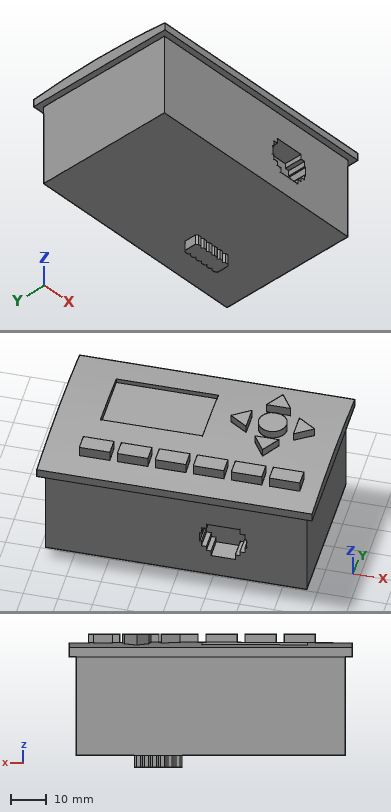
import cadquery as cq

OVERALL_HEIGHT = 37.4
COVER_LENGTH = 79.5
COVER_WIDTH = 50.3
COVER_OVERHANG = 2.0
HOUSING_HEIGHT = 27.7
COVER_EDGE_HEIGHT = 2.55
END_CROWN = 1.35
MIDDLE_CROWN = 1.6

KEY_HEIGHT = 6.35
KEY_COUNT = 6
KEY_PITCH = 11.0
KEY_LENGTH = 8.8
KEY_WIDTH = 4.8
KEY_ROW_CENTER = (2.5, -14.95)

PAD_CENTER = (20.75, 6.05)
ROUND_KEY_RADIUS = 4.05
ARROW_BASE_DISTANCE = 6.8
ARROW_TIP_DISTANCE = 12.1
ARROW_HALF_BASE = 3.5
ARROW_COUNT = 4

SCREEN_LENGTH = 29.5
SCREEN_WIDTH = 18.6
SCREEN_CENTER = (-12.3, 7.5)
SCREEN_FLOOR = 2.1

SOCKET_CENTER_X = 13.6
SOCKET_BOTTOM = 6.9
SOCKET_DEPTH = 6.05
SOCKET_STEPS = [(3.5, 1.7), (4.85, 1.4), (6.3, 1.7), (6.75, 3.0), (6.3, 1.9), (4.85, 1.7)]

POST_COUNT = 6
POST_PITCH = 2.2
POST_WIDTH = 5.1
POST_HEIGHT = OVERALL_HEIGHT - HOUSING_HEIGHT - KEY_HEIGHT
POST_CHAMFER = 0.55
TERMINAL_CENTER = (14.7, 9.55)

HOUSING_LENGTH = COVER_LENGTH - 2 * COVER_OVERHANG
HOUSING_WIDTH = COVER_WIDTH - 2 * COVER_OVERHANG
COVER_BOTTOM = HOUSING_HEIGHT


def centered_offsets(count, pitch):
    """Positions of evenly spaced items about zero."""
    return [(i - (count - 1) / 2) * pitch for i in range(count)]


def cover_section(x, crown):
    """Cross-section of the cover at x, with an arched top of the given rise."""
    half = COVER_WIDTH / 2
    edge = COVER_BOTTOM + COVER_EDGE_HEIGHT
    section = (
        cq.Workplane("YZ", origin=(x, 0, 0))
        .moveTo(-half, COVER_BOTTOM)
        .lineTo(half, COVER_BOTTOM)
        .lineTo(half, edge)
        .threePointArc((0, edge + crown), (-half, edge))
        .close()
    )
    return section.val()


def make_cover():
    """Cover with straight long edges and a top bulging in both directions."""
    half = COVER_LENGTH / 2
    sections = [
        cover_section(-half, END_CROWN),
        cover_section(0, MIDDLE_CROWN),
        cover_section(half, END_CROWN),
    ]
    return cq.Workplane(cq.Solid.makeLoft(sections))


def make_housing():
    size = (HOUSING_LENGTH, HOUSING_WIDTH, HOUSING_HEIGHT)
    return cq.Workplane("XY").box(*size, centered=(True, True, False))


def make_key_row():
    center_x, center_y = KEY_ROW_CENTER
    points = [(center_x + dx, center_y) for dx in centered_offsets(KEY_COUNT, KEY_PITCH)]
    plane = cq.Workplane("XY").workplane(offset=COVER_BOTTOM)
    return plane.pushPoints(points).rect(KEY_LENGTH, KEY_WIDTH).extrude(KEY_HEIGHT)


def make_navigation_pad():
    plane = cq.Workplane("XY", origin=(*PAD_CENTER, COVER_BOTTOM))
    pad = plane.circle(ROUND_KEY_RADIUS).extrude(KEY_HEIGHT)
    arrow = plane.polyline([
        (ARROW_BASE_DISTANCE, -ARROW_HALF_BASE),
        (ARROW_TIP_DISTANCE, 0),
        (ARROW_BASE_DISTANCE, ARROW_HALF_BASE),
    ]).close().extrude(KEY_HEIGHT)
    for i in range(ARROW_COUNT):
        pad = pad.add(arrow.rotate((*PAD_CENTER, 0), (*PAD_CENTER, 1), i * 360 / ARROW_COUNT))
    return pad.combine()


def make_screen_recess():
    """Cutter for the screen, open above the cover."""
    plane = cq.Workplane("XY", origin=(*SCREEN_CENTER, COVER_BOTTOM + SCREEN_FLOOR))
    return plane.rect(SCREEN_LENGTH, SCREEN_WIDTH).extrude(KEY_HEIGHT)


def make_socket():
    """Cutter for the socket, stacked from one slab per step."""
    front = -HOUSING_WIDTH / 2
    bottom = SOCKET_BOTTOM
    socket = cq.Workplane("XY")
    for half_width, height in SOCKET_STEPS:
        slab = cq.Workplane("XY").box(2 * half_width, SOCKET_DEPTH, height, centered=(True, False, False))
        socket = socket.union(slab.translate((SOCKET_CENTER_X, front, bottom)))
        bottom += height
    return socket


def make_terminal_block():
    """Posts merged into one strip with V grooves between them."""
    center_x, center_y = TERMINAL_CENTER
    post = (
        cq.Workplane("XY")
        .box(POST_PITCH, POST_WIDTH, POST_HEIGHT, centered=(True, True, False))
        .edges("|Z")
        .chamfer(POST_CHAMFER)
    )
    block = cq.Workplane("XY")
    for dx in centered_offsets(POST_COUNT, POST_PITCH):
        block = block.union(post.translate((center_x + dx, center_y, -POST_HEIGHT)))
    return block


result = (
    make_housing()
    .union(make_cover())
    .cut(make_screen_recess())
    .cut(make_socket())
    .union(make_key_row())
    .union(make_navigation_pad())
    .union(make_terminal_block())
)